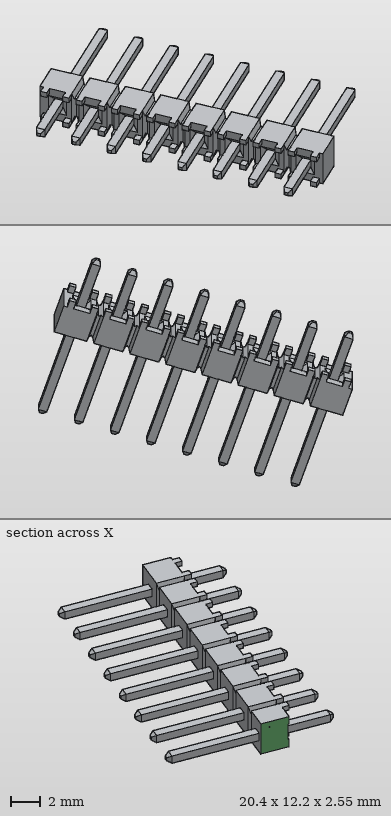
import cadquery as cq

position_count = 8
pitch = 2.55
body_length = position_count * pitch
body_height = 2.55
body_depth = 2.07

groove_width = 0.5
groove_floor_width = 0.25
groove_depth = 0.5
face_groove_depth = 0.26

foot_outer_offset = (pitch - groove_width) / 2
foot_width = 0.45
foot_height = 0.39
foot_length = 0.5

pin_width = 0.6
pin_tip_width = 0.25
pin_tip_length = 0.3
pin_front_length = 3.43
pin_length = 12.2
funnel_width = 1.32
funnel_depth = 0.26

pin_centres = [(i + 0.5) * pitch - body_length / 2 for i in range(position_count)]
break_lines = [i * pitch - body_length / 2 for i in range(1, position_count)]


def square_frustum(x, y_start, start_width, y_end, end_width):
    """Square section along Y, changing size from y_start to y_end (y_end > y_start)."""
    return (
        cq.Workplane("XZ", origin=(x, y_start, 0))
        .rect(start_width, start_width)
        .workplane(offset=y_start - y_end)
        .rect(end_width, end_width)
        .loft(ruled=True)
    )


def make_break_grooves(x):
    """Trapezoidal grooves above and below, V grooves on the front and back faces."""
    half_top = groove_width / 2
    half_floor = groove_floor_width / 2
    cutter = cq.Workplane("XY")
    for side in (1, -1):
        outer_z = side * body_height / 2
        floor_z = side * (body_height / 2 - groove_depth)
        trapezoid = [
            (x - half_top, outer_z),
            (x + half_top, outer_z),
            (x + half_floor, floor_z),
            (x - half_floor, floor_z),
        ]
        cutter = cutter.add(
            cq.Workplane("XZ", origin=(0, body_depth, 0)).polyline(trapezoid).close().extrude(body_depth)
        )
    for face_y, inward in ((0, 1), (body_depth, -1)):
        vee = [
            (x - half_top, face_y),
            (x + half_top, face_y),
            (x, face_y + inward * face_groove_depth),
        ]
        cutter = cutter.add(
            cq.Workplane("XY", origin=(0, 0, -body_height / 2)).polyline(vee).close().extrude(body_height)
        )
    return cutter.combine()


def make_feet(x):
    """Four feet at the corners of one position, projecting from the front face."""
    foot_x = foot_outer_offset - foot_width / 2
    foot_z = (body_height - foot_height) / 2
    corners = [(x + sx * foot_x, sz * foot_z) for sx in (-1, 1) for sz in (-1, 1)]
    return cq.Workplane("XZ").pushPoints(corners).rect(foot_width, foot_height).extrude(foot_length)


def make_pin(x):
    """Square pin with both tips tapered."""
    front = -pin_front_length
    back = front + pin_length
    shank_front = front + pin_tip_length
    shank_back = back - pin_tip_length
    shank = square_frustum(x, shank_front, pin_width, shank_back, pin_width)
    front_tip = square_frustum(x, front, pin_tip_width, shank_front, pin_width)
    back_tip = square_frustum(x, shank_back, pin_width, back, pin_tip_width)
    return shank.union(front_tip).union(back_tip)


result = cq.Workplane("XY").box(body_length, body_depth, body_height, centered=(True, False, True))

for break_x in break_lines:
    result = result.cut(make_break_grooves(break_x))

for pin_x in pin_centres:
    result = result.cut(square_frustum(pin_x, 0, funnel_width, funnel_depth, pin_width))
    result = result.union(make_feet(pin_x)).union(make_pin(pin_x))